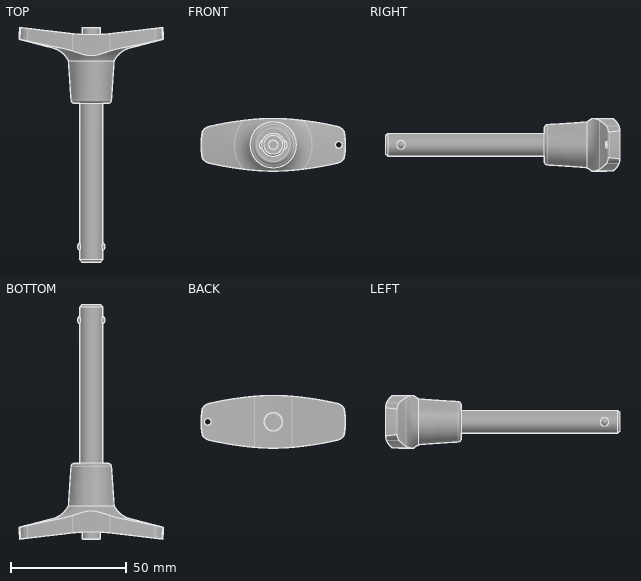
import cadquery as cq
import math


shank_radius = 5.0
shank_length = 68.9
tip_chamfer_length = 1.2
tip_chamfer_depth = 0.9
tip_bore_diameter = 3.98
tip_bore_depth = 5.0

ball_diameter = 4.0
ball_center_radius = 4.0
ball_tip_distance = 6.8

collar_front_radius = 8.75
collar_front_fillet = 1.65
collar_back_radius = 10.0
collar_length = 18.5
blend_outer_radius = 16.8
grip_radius = 31.43
grip_rim_y = 27.8
grip_underside_angle = 14.5
grip_end_draft_angle = 3.0
grip_rim_fillet = 0.6

grip_height = 23.0
side_crown_half_width = 8.1
side_crown_angle = 5.1
side_flank_radius = 147.0
grip_corner_half_length = 31.5
grip_corner_fillet = 5.0

back_center_y = 29.8
back_slope = 0.118
back_arc_half_width = 8.1

lanyard_hole_diameter = 2.8
lanyard_hole_x = 28.4
button_diameter = 8.02
button_top_y = 33.0
button_edge_fillet = 0.4

overshoot = 5.0
full_turn = 360
axis_start = (0, 0, 0)
axis_end = (0, 1, 0)


def turned_handle():
    """Collar, flared blend and conical grip as one body of revolution."""
    underside = math.radians(grip_underside_angle)
    blend_outer_y = grip_rim_y - (grip_radius - blend_outer_radius) * math.tan(underside)
    top_y = button_top_y + overshoot
    top_radius = grip_radius - (top_y - grip_rim_y) * math.tan(math.radians(grip_end_draft_angle))

    body = (
        cq.Workplane("XY")
        .moveTo(0, top_y)
        .lineTo(top_radius, top_y)
        .lineTo(grip_radius, grip_rim_y)
        .lineTo(blend_outer_radius, blend_outer_y)
        .tangentArcPoint((collar_back_radius, collar_length), relative=False)
        .lineTo(collar_front_radius, 0)
        .lineTo(0, 0)
        .close()
        .revolve(full_turn, axis_start, axis_end)
    )
    rim = cq.selectors.RadiusNthSelector(-1)
    body = body.edges("%CIRCLE").edges(rim).fillet(grip_rim_fillet)
    return body.faces("<Y").edges().fillet(collar_front_fillet)


def rounded_outline():
    """Upright prism with bulged long sides and rounded corners."""
    half_height = grip_height / 2
    half_length = grip_corner_half_length
    crown_tilt = math.radians(side_crown_angle)
    crown_radius = side_crown_half_width / math.sin(crown_tilt)
    crown_center_z = half_height - crown_radius
    crown_middle = (
        crown_radius * math.sin(crown_tilt / 2),
        crown_center_z + crown_radius * math.cos(crown_tilt / 2),
    )
    crown_end_z = crown_center_z + crown_radius * math.cos(crown_tilt)

    flank_center_x = side_crown_half_width - side_flank_radius * math.sin(crown_tilt)
    flank_center_z = crown_end_z - side_flank_radius * math.cos(crown_tilt)

    def flank_z(x):
        return flank_center_z + math.sqrt(side_flank_radius**2 - (x - flank_center_x) ** 2)

    flank_middle_x = (side_crown_half_width + half_length) / 2
    flank_middle = (flank_middle_x, flank_z(flank_middle_x))
    flank_end = (half_length, flank_z(half_length))

    quarter = (
        cq.Workplane("XZ")
        .moveTo(0, 0)
        .lineTo(0, half_height)
        .threePointArc(crown_middle, (side_crown_half_width, crown_end_z))
        .threePointArc(flank_middle, flank_end)
        .lineTo(half_length, 0)
        .close()
        .extrude(-(button_top_y + overshoot))
    )
    corner = cq.selectors.NearestToPointSelector((half_length, button_top_y / 2, flank_end[1]))
    quarter = quarter.edges("|Y").edges(corner).fillet(grip_corner_fillet)
    upper_half = quarter.union(quarter.mirror("YZ"))
    return upper_half.union(upper_half.mirror("XY"))


def back_cut():
    """Everything behind the concave back of the handle."""
    half_length = grip_radius + overshoot
    arc_end_y = back_center_y + back_arc_half_width * back_slope / 2
    outer_y = arc_end_y + (half_length - back_arc_half_width) * back_slope
    far_y = button_top_y + 2 * overshoot
    return (
        cq.Workplane("XY")
        .moveTo(-half_length, outer_y)
        .lineTo(-back_arc_half_width, arc_end_y)
        .threePointArc((0, back_center_y), (back_arc_half_width, arc_end_y))
        .lineTo(half_length, outer_y)
        .lineTo(half_length, far_y)
        .lineTo(-half_length, far_y)
        .close()
        .extrude(grip_height, both=True)
    )


def handle_body():
    return turned_handle().intersect(rounded_outline()).cut(back_cut())


def lanyard_hole():
    return (
        cq.Workplane("XZ")
        .center(lanyard_hole_x, 0)
        .circle(lanyard_hole_diameter / 2)
        .extrude(-(button_top_y + overshoot))
    )


def release_button():
    button = cq.Workplane("XZ").circle(button_diameter / 2).extrude(-button_top_y)
    return button.faces(">Y").edges().fillet(button_edge_fillet)


def shank():
    tip = cq.Workplane("XZ").circle(shank_radius).extrude(shank_length)
    tip = tip.faces("<Y").chamfer(tip_chamfer_length, tip_chamfer_depth)
    bore = (
        cq.Workplane("XZ", origin=(0, -shank_length, 0))
        .circle(tip_bore_diameter / 2)
        .extrude(-tip_bore_depth)
    )
    return tip.cut(bore)


def locking_ball(side):
    center = (side * ball_center_radius, ball_tip_distance - shank_length, 0)
    return cq.Workplane("XY").sphere(ball_diameter / 2).translate(center)


result = handle_body().cut(lanyard_hole()).union(release_button()).union(shank())
for ball_side in (-1, 1):
    result = result.union(locking_ball(ball_side))